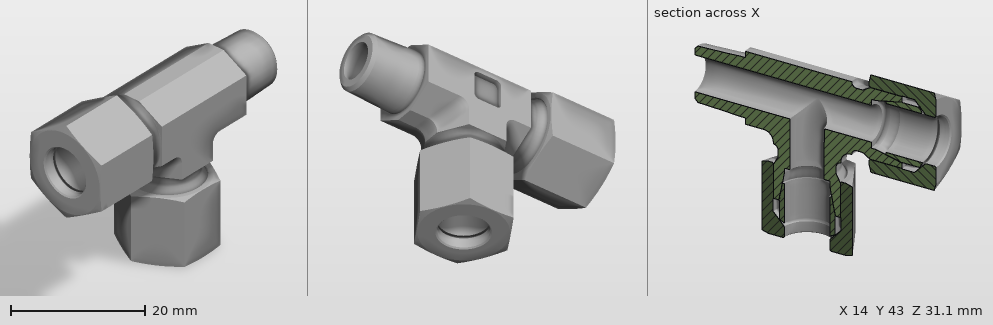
import cadquery as cq
import math

BAR_ACROSS_FLATS = 12.0
BAR_HEIGHT = 12.13
BAR_FRONT = 8.0
BAR_BACK = 11.0
INNER_CORNER_RADIUS = 1.65
PASSAGE_DIAMETER = 6.0

POCKET_SIDE = 5.0
POCKET_CORNER_RADIUS = 0.8
POCKET_DEPTH = 1.0

MALE_END_Y = 20.0
MALE_COLLAR_LENGTH = 1.0
MALE_BASE_DIAMETER = 10.05
MALE_TIP_DIAMETER = 9.4
MALE_TIP_CHAMFER = 0.55

THREAD_DIAMETER = 12.0
NECK_DIAMETER = 10.4
NECK_LENGTH = 1.68
RUN_OUT_ANGLE = math.radians(30)
STUD_END = 17.0
TUBE_DIAMETER = 8.0
TUBE_STOP = 11.5
MOUTH_DIAMETER = 10.0
MOUTH_HALF_ANGLE = math.radians(12)

NUT_ACROSS_FLATS = 14.0
NUT_START = 11.0
NUT_END = 23.0
NUT_FACE_DIAMETER = 13.8
NUT_CHAMFER_ANGLE = math.radians(15)
NUT_BORE_LENGTH = 1.9
NUT_BORE_CHAMFER = 0.2
NUT_THREAD_CHAMFER = 0.15

FERRULE_NOSE_LENGTH = 3.0
FERRULE_BACK_GAP = 0.5

BAR_RADIUS = BAR_ACROSS_FLATS / 2
BAR_CORNER_RADIUS = BAR_RADIUS / math.cos(math.pi / 6)
NECK_RADIUS = NECK_DIAMETER / 2
THREAD_RADIUS = THREAD_DIAMETER / 2
NECK_FILLET = THREAD_RADIUS - NECK_RADIUS
TUBE_RADIUS = TUBE_DIAMETER / 2
MOUTH_RADIUS = MOUTH_DIAMETER / 2
MOUTH_SLOPE = math.tan(MOUTH_HALF_ANGLE)
SEAT_START = NUT_END - NUT_BORE_LENGTH


def revolve_z(outline):
    """Close an outline of (radius, height) points and revolve it about Z."""
    return outline.close().revolve(360, (0, 0, 0), (0, 1, 0))


def to_front(shape):
    """Turn a shape that points up along +Z so that it points to -Y."""
    return shape.rotate((0, 0, 0), (1, 0, 0), 90)


def to_bottom(shape):
    """Turn a shape that points up along +Z so that it points down."""
    return shape.rotate((0, 0, 0), (1, 0, 0), 180)


def hexagonal_prism(corner_radius, start, end):
    """Hexagonal prism along Z with two of its sides facing +X and -X."""
    plane = cq.Workplane().workplane(offset=start)
    prism = plane.polygon(6, 2 * corner_radius).extrude(end - start)
    return prism.rotate((0, 0, 0), (0, 0, 1), 90)


STUD_TURNS = (to_front, to_bottom)


def bar(start, end):
    """Flattened hexagonal bar along Z with its flat sides facing +X and -X."""
    hexagon = hexagonal_prism(BAR_CORNER_RADIUS, start, end)
    flats = cq.Workplane().workplane(offset=start).rect(BAR_ACROSS_FLATS, BAR_HEIGHT).extrude(end - start)
    return hexagon.intersect(flats)


def corner_web(side):
    """Concave web in the inner corner on the +Y (side 1) or -Y (side -1) side of the branch.

    Every section across X is the same rounded corner; it follows the surface of the bars.
    """
    outer = BAR_HEIGHT / 2
    inner = BAR_RADIUS * math.tan(math.pi / 6)
    flat_half_width = (BAR_CORNER_RADIUS - outer) / math.tan(math.pi / 6)
    arc_middle = INNER_CORNER_RADIUS * (1 - math.cos(math.pi / 4))

    def section(x, distance):
        def point(along, down):
            return cq.Vector(x, side * (distance + along), -distance - down)

        corner = point(0, 0)
        on_run = point(INNER_CORNER_RADIUS, 0)
        on_branch = point(0, INNER_CORNER_RADIUS)
        arc = cq.Edge.makeThreePointArc(on_run, point(arc_middle, arc_middle), on_branch)
        edges = [cq.Edge.makeLine(corner, on_run), arc, cq.Edge.makeLine(on_branch, corner)]
        return cq.Wire.assembleEdges(edges)

    sections = [
        section(-BAR_RADIUS, inner),
        section(-flat_half_width, outer),
        section(flat_half_width, outer),
        section(BAR_RADIUS, inner),
    ]
    return cq.Workplane(cq.Solid.makeLoft(sections, True))


def tee_bars():
    """The run and the branch, with webs in the inner corners."""
    run = to_front(bar(-BAR_BACK, BAR_FRONT))
    tee = run.union(to_bottom(bar(0, BAR_FRONT)))
    for side in (1, -1):
        tee = tee.union(corner_web(side))
    return tee.clean()


def male_end():
    """Tapered round end with a short collar, pointing up along Z."""
    tip_radius = MALE_TIP_DIAMETER / 2
    base_radius = MALE_BASE_DIAMETER / 2
    outline = (
        cq.Workplane("XZ")
        .moveTo(0, BAR_BACK)
        .lineTo(base_radius, BAR_BACK)
        .lineTo(base_radius, BAR_BACK + MALE_COLLAR_LENGTH)
        .lineTo(tip_radius, MALE_END_Y - MALE_TIP_CHAMFER)
        .lineTo(tip_radius - MALE_TIP_CHAMFER, MALE_END_Y)
        .lineTo(0, MALE_END_Y)
    )
    return revolve_z(outline)


def stud():
    """Threaded stud with an undercut neck, pointing up along Z."""
    eighth_turn = math.pi / 4
    root = BAR_FRONT + NECK_FILLET
    neck_end = BAR_FRONT + NECK_LENGTH

    def run_out_point(angle):
        rise = NECK_FILLET * math.sin(angle)
        return NECK_RADIUS + NECK_FILLET * (1 - math.cos(angle)), neck_end + rise

    run_out_radius, run_out_height = run_out_point(RUN_OUT_ANGLE)
    thread_start = run_out_height + (THREAD_RADIUS - run_out_radius) / math.tan(RUN_OUT_ANGLE)
    fillet_middle = (
        THREAD_RADIUS - NECK_FILLET * math.cos(eighth_turn),
        root - NECK_FILLET * math.sin(eighth_turn),
    )
    outline = (
        cq.Workplane("XZ")
        .moveTo(0, BAR_FRONT)
        .lineTo(THREAD_RADIUS, BAR_FRONT)
        .threePointArc(fillet_middle, (NECK_RADIUS, root))
        .lineTo(NECK_RADIUS, neck_end)
        .threePointArc(run_out_point(RUN_OUT_ANGLE / 2), (run_out_radius, run_out_height))
        .lineTo(THREAD_RADIUS, thread_start)
        .lineTo(THREAD_RADIUS, STUD_END)
        .lineTo(0, STUD_END)
    )
    return revolve_z(outline)


def tube_socket():
    """Cavity of a stud: passage, tube stop and conical mouth, pointing up along Z."""
    passage_radius = PASSAGE_DIAMETER / 2
    cone_start = STUD_END - (MOUTH_RADIUS - TUBE_RADIUS) / MOUTH_SLOPE
    outline = (
        cq.Workplane("XZ")
        .lineTo(passage_radius, 0)
        .lineTo(passage_radius, TUBE_STOP)
        .lineTo(TUBE_RADIUS, TUBE_STOP)
        .lineTo(TUBE_RADIUS, cone_start)
        .lineTo(MOUTH_RADIUS, STUD_END)
        .lineTo(0, STUD_END)
    )
    return revolve_z(outline)


def side_pocket():
    """Square pocket with rounded corners, centred on the tee."""
    return (
        cq.Workplane("YZ")
        .workplane(offset=-BAR_RADIUS)
        .rect(POCKET_SIDE, POCKET_SIDE)
        .extrude(POCKET_DEPTH)
        .edges("|X")
        .fillet(POCKET_CORNER_RADIUS)
    )


def tee_body():
    """Tee with one tapered end and two studs, bored through."""
    body = tee_bars().union(male_end().rotate((0, 0, 0), (1, 0, 0), -90))
    for turn in STUD_TURNS:
        body = body.union(turn(stud()))
    for turn in STUD_TURNS:
        body = body.cut(turn(tube_socket()))
    male_passage = cq.Workplane("XZ").circle(PASSAGE_DIAMETER / 2).extrude(-MALE_END_Y)
    return body.cut(male_passage).cut(side_pocket())


def nut_blank():
    """Hexagonal prism with chamfered corners at both ends."""
    corner_radius = NUT_ACROSS_FLATS / 2 / math.cos(math.pi / 6)
    face_radius = NUT_FACE_DIAMETER / 2
    drop = (corner_radius - face_radius) * math.tan(NUT_CHAMFER_ANGLE)
    hexagon = hexagonal_prism(corner_radius, NUT_START, NUT_END)
    outline = (
        cq.Workplane("XZ")
        .moveTo(0, NUT_START)
        .lineTo(face_radius, NUT_START)
        .lineTo(corner_radius, NUT_START + drop)
        .lineTo(corner_radius, NUT_END - drop)
        .lineTo(face_radius, NUT_END)
        .lineTo(0, NUT_END)
    )
    return hexagon.intersect(revolve_z(outline))


def nut_cavity():
    """Threaded bore, 45 degree ferrule seat and tube bore of a nut."""
    seat_end = SEAT_START - (THREAD_RADIUS - TUBE_RADIUS)
    outline = (
        cq.Workplane("XZ")
        .moveTo(0, NUT_START)
        .lineTo(THREAD_RADIUS + NUT_THREAD_CHAMFER, NUT_START)
        .lineTo(THREAD_RADIUS, NUT_START + NUT_THREAD_CHAMFER)
        .lineTo(THREAD_RADIUS, seat_end)
        .lineTo(TUBE_RADIUS, SEAT_START)
        .lineTo(TUBE_RADIUS, NUT_END - NUT_BORE_CHAMFER)
        .lineTo(TUBE_RADIUS + NUT_BORE_CHAMFER, NUT_END)
        .lineTo(0, NUT_END)
    )
    return revolve_z(outline)


def nut():
    """Union nut, pointing up along Z."""
    return nut_blank().cut(nut_cavity())


def ferrule():
    """Ring with a nose that fits the stud mouth and a conical back whose rim bears on the nut seat."""
    nose_radius = MOUTH_RADIUS - FERRULE_NOSE_LENGTH * MOUTH_SLOPE
    shoulder = SEAT_START - (MOUTH_RADIUS - TUBE_RADIUS)
    outline = (
        cq.Workplane("XZ")
        .moveTo(TUBE_RADIUS, STUD_END - FERRULE_NOSE_LENGTH)
        .lineTo(nose_radius, STUD_END - FERRULE_NOSE_LENGTH)
        .lineTo(MOUTH_RADIUS, STUD_END)
        .lineTo(MOUTH_RADIUS, shoulder)
        .lineTo(TUBE_RADIUS, SEAT_START - FERRULE_BACK_GAP)
    )
    return revolve_z(outline)


body = tee_body()
nuts = [turn(nut()).val() for turn in STUD_TURNS]
ferrules = [turn(ferrule()).val() for turn in STUD_TURNS]

result = cq.Compound.makeCompound([body.val(), *nuts, *ferrules])